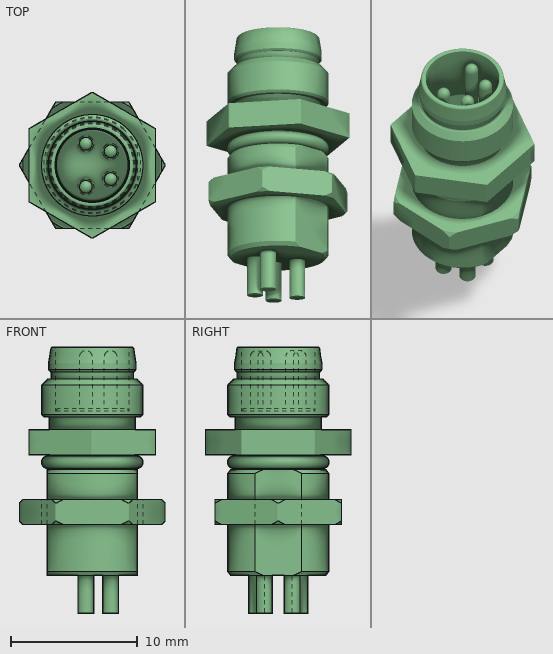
import cadquery as cq
import math


TOTAL_HEIGHT = 21.0
BODY_BOTTOM = 3.0
BODY_TOP = 11.35
LOCK_NUT_BOTTOM = 7.0
FLANGE_BOTTOM = 12.5
HEX_HEIGHT = 2.0
COLLAR_BOTTOM = 15.5
COLLAR_TOP = 18.5
NOSE_BOTTOM = 19.05
NOSE_CONE_START = 19.72
CONTACT_TIP = 20.73

BODY_DIAMETER = 8.0
BODY_FLAT_WIDTH = 7.1
BODY_CHAMFER_HEIGHT = 0.32
BODY_CHAMFER_DEPTH = 0.25

HEX_ACROSS_FLATS = 10.0
HEX_CORNER_FILLET = 0.1
NUT_BEVEL_DIAMETER = 11.5
NUT_BEVEL_DEPTH = 0.27
NUT_BEVEL_HEIGHT = 0.3

CORE_DIAMETER = 6.7
SEAL_SECTION = 1.0
SEAL_OUTER_DIAMETER = BODY_DIAMETER

NECK_DIAMETER = 6.8
COLLAR_DIAMETER = 8.0
COLLAR_TOP_CHAMFER = 0.5
COLLAR_BOTTOM_CHAMFER = 0.19
GROOVE_DIAMETER = 6.5
NOSE_DIAMETER = 6.9
NOSE_TIP_DIAMETER = 6.5
NOSE_BOTTOM_CHAMFER = 0.17
NOSE_TIP_FILLET = 0.17

SOCKET_DIAMETER = 5.8
SOCKET_DEPTH = 5.05
SOCKET_MOUTH_CHAMFER = 0.05
INSERT_DIAMETER = 5.67
INSERT_HEIGHT = 0.2
INSERT_FILLET = 0.19

CONTACT_DIAMETER = 1.0
WIRE_PIN_DIAMETER = 1.25
CONTACT_POSITIONS = [(x, side * y) for x, y in ((-0.5, 1.7), (1.45, 1.1)) for side in (1, -1)]

SOCKET_FLOOR = TOTAL_HEIGHT - SOCKET_DEPTH


def cylinder(diameter, bottom, top):
    return cq.Workplane("XY").workplane(offset=bottom).circle(diameter / 2).extrude(top - bottom)


def revolved(profile):
    """Revolve a closed (radius, height) outline about the Z axis."""
    return cq.Workplane("XZ").polyline(profile).close().revolve(360, (0, 0), (0, 1))


def chamfered_disc(diameter, bottom, top, depth, height):
    """Cylinder whose two rims are bevelled by depth radially and height axially."""
    radius = diameter / 2
    return revolved([
        (0, bottom),
        (radius - depth, bottom),
        (radius, bottom + height),
        (radius, top - height),
        (radius - depth, top),
        (0, top),
    ])


def hexagon(bottom, first_corner_angle):
    """Hexagonal prism with softened corners, one of them at the given angle from +X."""
    circumscribed_diameter = HEX_ACROSS_FLATS / math.cos(math.pi / 6)
    prism = cq.Workplane("XY").polygon(6, circumscribed_diameter).extrude(HEX_HEIGHT)
    prism = prism.edges("|Z").fillet(HEX_CORNER_FILLET)
    return prism.rotate((0, 0, 0), (0, 0, 1), first_corner_angle).translate((0, 0, bottom))


def make_body():
    body = chamfered_disc(BODY_DIAMETER, BODY_BOTTOM, BODY_TOP, BODY_CHAMFER_DEPTH, BODY_CHAMFER_HEIGHT)
    flats = cq.Workplane("XY").box(BODY_FLAT_WIDTH, BODY_DIAMETER, BODY_TOP, centered=(True, True, False))
    return body.intersect(flats)


def make_lock_nut():
    """Bevelled nut with a round bore, which leaves gaps beside the body flats."""
    nut_top = LOCK_NUT_BOTTOM + HEX_HEIGHT
    envelope = chamfered_disc(
        NUT_BEVEL_DIAMETER, LOCK_NUT_BOTTOM, nut_top, NUT_BEVEL_DEPTH, NUT_BEVEL_HEIGHT
    )
    bore = cylinder(BODY_DIAMETER, LOCK_NUT_BOTTOM, nut_top)
    return hexagon(LOCK_NUT_BOTTOM, 0).intersect(envelope).cut(bore)


def make_seal():
    ring_radius = (SEAL_OUTER_DIAMETER - SEAL_SECTION) / 2
    ring_height = (BODY_TOP + FLANGE_BOTTOM) / 2
    section = cq.Workplane("XZ").center(-ring_radius, ring_height).circle(SEAL_SECTION / 2)
    return section.revolve(360, (ring_radius, 0), (ring_radius, 1))


def make_collar():
    collar = cylinder(COLLAR_DIAMETER, COLLAR_BOTTOM, COLLAR_TOP)
    collar = collar.faces(">Z").chamfer(COLLAR_TOP_CHAMFER)
    return collar.faces("<Z").chamfer(COLLAR_BOTTOM_CHAMFER)


def make_nose():
    nose_radius = NOSE_DIAMETER / 2
    nose = revolved([
        (0, NOSE_BOTTOM),
        (nose_radius - NOSE_BOTTOM_CHAMFER, NOSE_BOTTOM),
        (nose_radius, NOSE_BOTTOM + NOSE_BOTTOM_CHAMFER),
        (nose_radius, NOSE_CONE_START),
        (NOSE_TIP_DIAMETER / 2, TOTAL_HEIGHT),
        (0, TOTAL_HEIGHT),
    ])
    return nose.faces(">Z").edges().fillet(NOSE_TIP_FILLET)


def make_socket_cut():
    """Space inside the socket with its flared mouth, excluding the raised insert on its floor."""
    bore = cylinder(SOCKET_DIAMETER, SOCKET_FLOOR, TOTAL_HEIGHT)
    bore_radius = SOCKET_DIAMETER / 2
    mouth = revolved([
        (0, TOTAL_HEIGHT - SOCKET_MOUTH_CHAMFER),
        (bore_radius, TOTAL_HEIGHT - SOCKET_MOUTH_CHAMFER),
        (bore_radius + SOCKET_MOUTH_CHAMFER, TOTAL_HEIGHT),
        (0, TOTAL_HEIGHT),
    ])
    insert = cylinder(INSERT_DIAMETER, SOCKET_FLOOR, SOCKET_FLOOR + INSERT_HEIGHT)
    insert = insert.faces(">Z").edges().fillet(INSERT_FILLET)
    return bore.union(mouth).cut(insert)


def make_contacts():
    contact = cylinder(CONTACT_DIAMETER, SOCKET_FLOOR, CONTACT_TIP - CONTACT_DIAMETER / 2)
    tip = cq.Workplane("XY").sphere(CONTACT_DIAMETER / 2)
    contact = contact.union(tip.translate((0, 0, CONTACT_TIP - CONTACT_DIAMETER / 2)))
    wire_pin = cylinder(WIRE_PIN_DIAMETER, 0, BODY_BOTTOM)
    return [
        pin.translate((x, y, 0))
        for x, y in CONTACT_POSITIONS
        for pin in (contact, wire_pin)
    ]


result = make_body()
result = result.union(make_lock_nut())
result = result.union(cylinder(CORE_DIAMETER, BODY_TOP, FLANGE_BOTTOM))
result = result.union(make_seal())
result = result.union(hexagon(FLANGE_BOTTOM, 30))
result = result.union(cylinder(NECK_DIAMETER, FLANGE_BOTTOM, COLLAR_BOTTOM))
result = result.union(make_collar())
result = result.union(cylinder(GROOVE_DIAMETER, COLLAR_TOP, NOSE_BOTTOM))
result = result.union(make_nose())
result = result.cut(make_socket_cut())
for pin in make_contacts():
    result = result.union(pin)